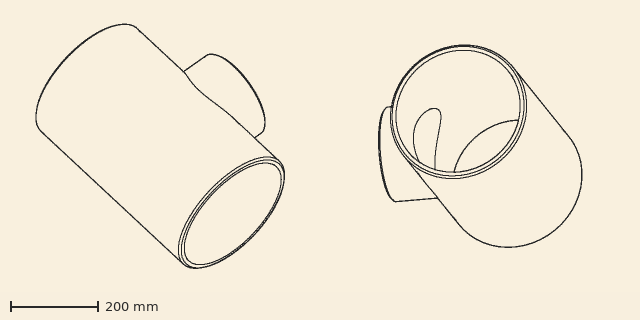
import cadquery as cq

run_length = 508.0
run_diameter = 324.0
run_wall = 14.0
branch_diameter = 219.0
branch_wall = 12.5
branch_reach = 228.5
bevel_length = 4.5
bevel_depth = 5.0


def run_bar(diameter):
    """Solid round bar along X, centred on the origin."""
    return cq.Workplane("YZ").circle(diameter / 2).extrude(run_length / 2, both=True)


def branch_bar(diameter):
    """Solid round bar from the run axis out along +Y."""
    return cq.Workplane("ZX").circle(diameter / 2).extrude(branch_reach)


def bevel_ends(bar, end_faces):
    """Weld bevel around the outer edge of the chosen end faces."""
    return bar.faces(end_faces).edges().chamfer(bevel_length, bevel_depth)


outer_body = bevel_ends(run_bar(run_diameter), "<X or >X").union(
    bevel_ends(branch_bar(branch_diameter), ">Y")
)

run_bore = run_bar(run_diameter - 2 * run_wall)
branch_bore = branch_bar(branch_diameter - 2 * branch_wall)

result = outer_body.cut(run_bore).cut(branch_bore)